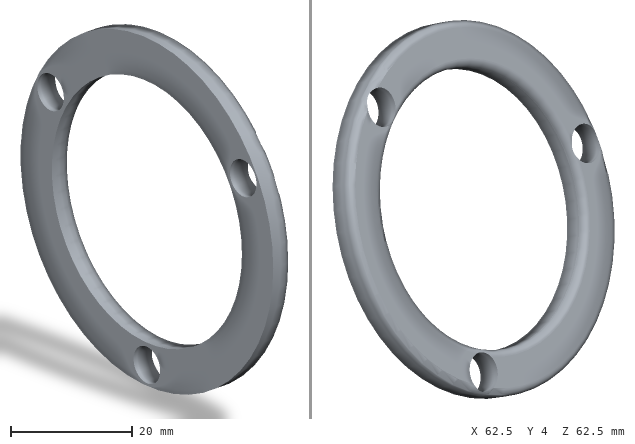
import cadquery as cq

outer_diameter = 62.5
inner_diameter = 47.0
thickness = 4.0
edge_radius = 1.25

hole_diameter = 6.55
hole_circle_radius = 27.5
hole_count = 3
first_hole_angle = -90.0


def rounded_ring():
    ring = (
        cq.Workplane("XZ")
        .circle(outer_diameter / 2)
        .circle(inner_diameter / 2)
        .extrude(-thickness)
    )
    return ring.faces(">Y").edges().fillet(edge_radius)


def mounting_holes():
    return (
        cq.Workplane("XZ")
        .polarArray(hole_circle_radius, first_hole_angle, 360, hole_count)
        .circle(hole_diameter / 2)
        .extrude(-thickness)
    )


result = rounded_ring().cut(mounting_holes())